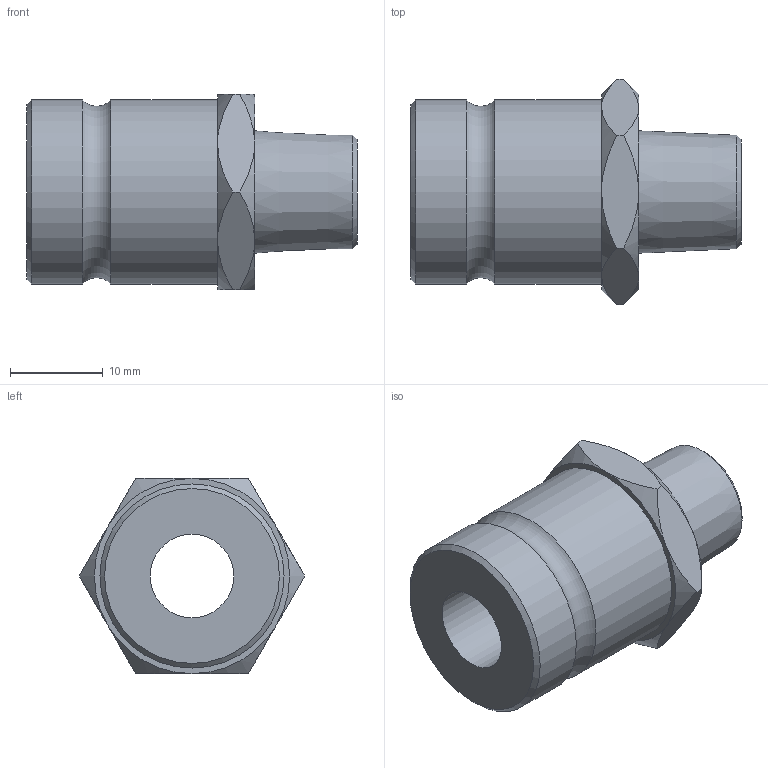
import cadquery as cq
import math

GROOVE_CENTRE = 7.5
HEX_START = 20.5
HEX_WIDTH = 4.0
SPIGOT_LENGTH = 11.0
HEX_END = HEX_START + HEX_WIDTH
TOTAL_LENGTH = HEX_END + SPIGOT_LENGTH

BODY_RADIUS = 9.9
BODY_CHAMFER = 0.5
GROOVE_WIDTH = 3.0
GROOVE_RADIUS = 2.0
GROOVE_DEPTH = GROOVE_RADIUS - math.sqrt(GROOVE_RADIUS**2 - (GROOVE_WIDTH / 2) ** 2)

HEX_SIDES = 6
ACROSS_FLATS = 21.0
HEX_FACE_RADIUS = ACROSS_FLATS / 2
HEX_CORNER_RADIUS = HEX_FACE_RADIUS / math.cos(math.pi / HEX_SIDES)
HEX_CHAMFER = HEX_CORNER_RADIUS - HEX_FACE_RADIUS

SPIGOT_ROOT_RADIUS = 6.58
SPIGOT_TIP_RADIUS = 6.1
SPIGOT_CHAMFER = 0.5

BORE_DIAMETER = 9.0


def revolve_about_x(profile):
    """Turn a closed XY profile a full revolution about the X axis."""
    return profile.close().revolve(360, (0, 0, 0), (1, 0, 0))


def make_body():
    """Chamfered cylinder with a round-bottomed groove."""
    profile = (
        cq.Workplane("XY")
        .lineTo(0, BODY_RADIUS - BODY_CHAMFER)
        .lineTo(BODY_CHAMFER, BODY_RADIUS)
        .lineTo(GROOVE_CENTRE - GROOVE_WIDTH / 2, BODY_RADIUS)
        .threePointArc(
            (GROOVE_CENTRE, BODY_RADIUS - GROOVE_DEPTH),
            (GROOVE_CENTRE + GROOVE_WIDTH / 2, BODY_RADIUS),
        )
        .lineTo(HEX_START, BODY_RADIUS)
        .lineTo(HEX_START, 0)
    )
    return revolve_about_x(profile)


def make_hex_collar():
    """Hexagonal prism with its corners turned off at 45 degrees on both faces."""
    prism = (
        cq.Workplane("YZ")
        .workplane(offset=HEX_START)
        .polygon(HEX_SIDES, 2 * HEX_CORNER_RADIUS)
        .extrude(HEX_WIDTH)
    )
    envelope = (
        cq.Workplane("XY")
        .moveTo(HEX_START, 0)
        .lineTo(HEX_START, HEX_FACE_RADIUS)
        .lineTo(HEX_START + HEX_CHAMFER, HEX_CORNER_RADIUS)
        .lineTo(HEX_END - HEX_CHAMFER, HEX_CORNER_RADIUS)
        .lineTo(HEX_END, HEX_FACE_RADIUS)
        .lineTo(HEX_END, 0)
    )
    return prism.intersect(revolve_about_x(envelope))


def make_spigot():
    """Tapered spigot with a chamfered tip."""
    profile = (
        cq.Workplane("XY")
        .moveTo(HEX_END, 0)
        .lineTo(HEX_END, SPIGOT_ROOT_RADIUS)
        .lineTo(TOTAL_LENGTH - SPIGOT_CHAMFER, SPIGOT_TIP_RADIUS)
        .lineTo(TOTAL_LENGTH, SPIGOT_TIP_RADIUS - SPIGOT_CHAMFER)
        .lineTo(TOTAL_LENGTH, 0)
    )
    return revolve_about_x(profile)


def make_bore():
    """Straight bore through the full length."""
    return cq.Workplane("YZ").circle(BORE_DIAMETER / 2).extrude(TOTAL_LENGTH)


result = make_body().union(make_hex_collar()).union(make_spigot()).cut(make_bore())